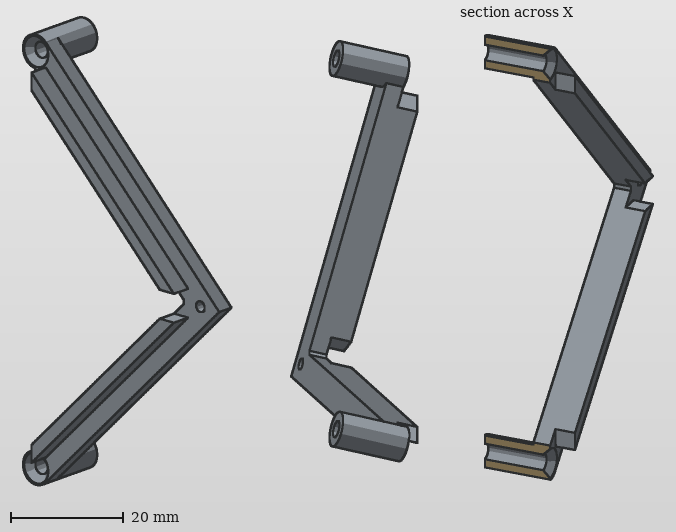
import cadquery as cq
import math

height = 84.45
boss_diameter = 6.3
boss_length = 12.75
boss_radius = boss_diameter / 2
boss_height = height / 2 - boss_radius

arm_thickness = 3.3
outer_reach = boss_height + boss_radius * math.sqrt(2)
inner_reach = 35.5
corner_flat = 0.85

rib_depth = 3.8
rib_reach = 38.85
rib_start_x = boss_radius / math.sqrt(2)
rib_end_z = 2.7

corner_hole_diameter = 2.0
corner_hole_x = boss_height
boss_hole_diameter = 2.95
countersink_diameter = 5.75
countersink_angle = 90



def extrude_outline(points, start_y, depth):
    """Extrude an XZ outline towards +Y from start_y."""
    plane = cq.Workplane("XZ", origin=(0, start_y, 0))
    return plane.polyline(points).close().extrude(-depth)


def mirrored(body):
    """Join a body with its reflection in the plane Z = 0."""
    return body.union(body.mirror("XY"))


def make_arm():
    outer_end = (outer_reach - boss_height) / 2
    inner_end = (inner_reach - boss_height) / 2
    outline = [
        (outer_reach, 0),
        (outer_end, boss_height + outer_end),
        (inner_end, boss_height + inner_end),
        (inner_reach - corner_flat / 2, corner_flat / 2),
        (inner_reach - corner_flat / 2, 0),
    ]
    return extrude_outline(outline, 0, arm_thickness)


def make_rib():
    outline = [
        (rib_start_x, inner_reach - rib_start_x),
        (rib_start_x, rib_reach - rib_start_x),
        (rib_reach - rib_end_z, rib_end_z),
        (inner_reach - rib_end_z, rib_end_z),
    ]
    return extrude_outline(outline, -rib_depth, rib_depth)


def make_boss():
    return cq.Workplane("XZ", origin=(0, 0, boss_height)).circle(boss_radius).extrude(-boss_length)


def make_boss_hole():
    """Through hole with a countersink in the front face, as a cutting body."""
    front = cq.Workplane("XZ", origin=(0, 0, boss_height))
    bore = front.circle(boss_hole_diameter / 2).extrude(-boss_length)
    half_angle = math.radians(countersink_angle / 2)
    sink_depth = (countersink_diameter - boss_hole_diameter) / 2 / math.tan(half_angle)
    sink = front.circle(countersink_diameter / 2).extrude(-sink_depth, taper=countersink_angle / 2)
    return bore.union(sink)


def make_corner_hole():
    front = cq.Workplane("XZ", origin=(corner_hole_x, 0, 0))
    return front.circle(corner_hole_diameter / 2).extrude(-arm_thickness)


half = make_arm().union(make_rib()).union(make_boss()).cut(make_boss_hole())
result = mirrored(half).cut(make_corner_hole())